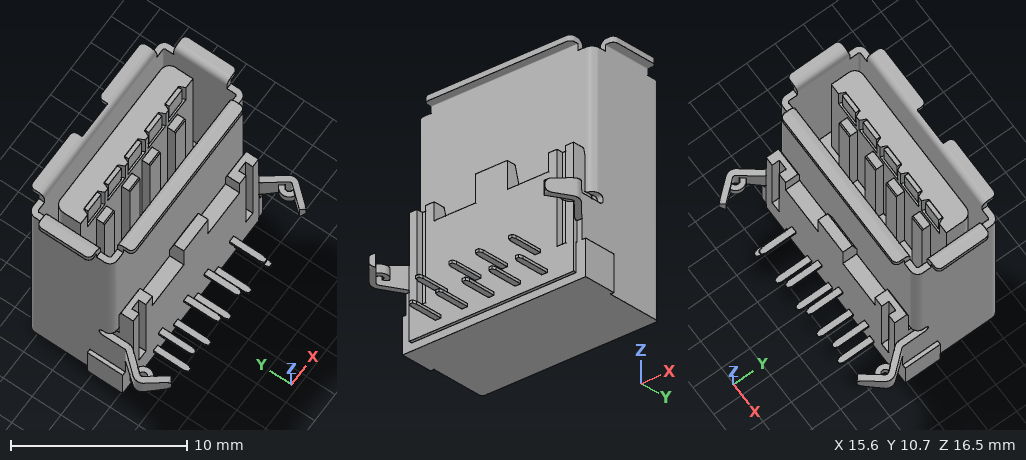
import cadquery as cq
import math


sheet = 0.41
shell_half_width = 6.64
shell_front = 1.15
shell_back = 7.03
shell_corner_radius = 0.52
shell_rim = 15.67
bottom_radius = 0.3
inner_half_width = shell_half_width - sheet
inner_front = shell_front + sheet
inner_back = shell_back - sheet
shell_middle = (shell_front + shell_back) / 2

relief_bottom = 5.57
relief_top = 6.16
relief_end = 2.05
side_plate_front = 0.23

lip_top = 16.5
lip_reach = 0.64
lip_inside_bend = 0.06
lip_corner_radius = 0.33
long_lip_width = 11.08
short_lip_width = 3.7
back_lip_gap = 2.5

base_front = side_plate_front
flange_half_width = 6.9
flange_back = 2.69
flange_height = 2.52
floor_top = relief_bottom

plate_half_width = 6.19
plate_bottom = 0.53
plate_thickness = 0.98
plate_shoulder = 8.94
plate_notch_floor = 7.71
notch_outer_half_width = 4.3
tower_half_width = 1.2
tower_top = 9.6
tower_tip_thickness = 0.68
plate_taper_start = 8.53
slot_center = 5.27
slot_width = 0.66
slot_depth = 0.5
slot_bottom = 2.6

tongue_half_width = 5.54
tongue_front = 4.11
tongue_back = 5.93
tongue_top = 15.9
tongue_corner_radius = 0.6
recess_front_width = 1.72
recess_back_width = 1.36
recess_depth = 0.39
recess_bottom = 14.28
pad_width = 1.28
pad_thickness = 0.27
pad_top_step = 0.05
spring_width = 1.0
spring_thickness = 0.57
spring_top = 13.8
spring_chamfer = 0.08

pad_positions = (-4, -2, 0, 2, 4)
spring_positions = (-3.5, -1, 1, 3.5)
lower_pin_row = 1.27
upper_pin_row = 2.76
pin_width = 0.42
pin_thickness = 0.2
pin_length = 2.38
pin_tip_length = 0.26
pin_tip_width = 0.25

clip_lean = math.radians(40)
clip_reach = 7.8
clip_outer_radius = 0.59
clip_inner_radius = clip_outer_radius - sheet
clip_root = 0.2
clip_root_overlap = 0.3
clip_tip = -2.99
clip_center_z = 4.73
clip_root_half_height = relief_bottom - clip_center_z
clip_tip_half_height = 0.43
clip_tip_radius = 0.35
curl_center = (7.22, -1.4)
curl_outer_radius = 0.62
curl_inner_radius = 0.26
curl_height = 0.6


def block(x_range, y_range, z_range):
    """Axis-aligned block between the given coordinates."""
    size = [high - low for low, high in (x_range, y_range, z_range)]
    corner = (x_range[0], y_range[0], z_range[0])
    return cq.Workplane("XY").box(*size, centered=False).translate(corner)


def centered_block(half_width, y_range, z_range):
    """Block symmetric about X = 0."""
    return block((-half_width, half_width), y_range, z_range)


def both_sides(solid):
    """The solid of the +X side together with its mirror image."""
    return solid.union(solid.mirror("YZ"))


def rounded_column(half_width, y_range, height, radius):
    column = centered_block(half_width, y_range, (0, height))
    return column.edges("|Z").fillet(radius)


def lip(width):
    """Rim strip bent outward toward +Y; the inner wall face lies at Y = 0."""
    bend_radius = sheet + lip_inside_bend
    sin45 = math.sqrt(0.5)
    bend_z = lip_top - bend_radius
    strip = (
        cq.Workplane("YZ")
        .moveTo(0, shell_rim)
        .lineTo(0, bend_z)
        .threePointArc(
            (bend_radius * (1 - sin45), bend_z + bend_radius * sin45),
            (bend_radius, lip_top),
        )
        .lineTo(sheet + lip_reach, lip_top)
        .lineTo(sheet + lip_reach, lip_top - sheet)
        .lineTo(bend_radius, lip_top - sheet)
        .threePointArc(
            (bend_radius - lip_inside_bend * sin45, bend_z + lip_inside_bend * sin45),
            (sheet, bend_z),
        )
        .lineTo(sheet, shell_rim)
        .close()
        .extrude(width / 2, both=True)
    )
    return strip.edges("|Z").edges(">Y").fillet(lip_corner_radius)


def lips():
    center = (0, 0, 0)
    axis_end = (0, 0, 1)
    gap_range = (sheet, sheet + lip_reach)
    gap = centered_block(back_lip_gap / 2, gap_range, (shell_rim, lip_top))
    back = lip(long_lip_width).cut(gap)
    gap_corners = cq.selectors.BoxSelector(
        (-back_lip_gap, gap_range[1] - lip_corner_radius, shell_rim),
        (back_lip_gap, gap_range[1] + lip_corner_radius, lip_top),
    )
    back = back.edges("|Z").edges(gap_corners).fillet(lip_corner_radius)
    back = back.translate((0, inner_back, 0))
    front = lip(long_lip_width).rotate(center, axis_end, 180).translate((0, inner_front, 0))
    side = lip(short_lip_width).rotate(center, axis_end, -90)
    side = side.translate((inner_half_width, shell_middle, 0))
    return back.union(front).union(both_sides(side))


def shell():
    outer = rounded_column(
        shell_half_width, (shell_front, shell_back), shell_rim, shell_corner_radius
    )
    inner = rounded_column(
        inner_half_width, (inner_front, inner_back), shell_rim, shell_corner_radius - sheet
    )
    tube = outer.cut(inner)
    relief_radius = (relief_top - relief_bottom) / 2
    relief_center_y = relief_end - relief_radius
    lower_front = centered_block(shell_half_width, (0, relief_center_y), (0, relief_top))
    relief_round = (
        cq.Workplane("YZ")
        .center(relief_center_y, relief_bottom + relief_radius)
        .circle(relief_radius)
        .extrude(shell_half_width, both=True)
    )
    side_plate = block(
        (inner_half_width, shell_half_width),
        (side_plate_front, relief_center_y),
        (0, relief_bottom),
    )
    return tube.cut(lower_front).union(both_sides(side_plate)).cut(relief_round).union(lips())


def front_plate():
    """Plate at the board face with tapered top and two notches."""
    plate = (
        cq.Workplane("YZ")
        .polyline([
            (0, plate_bottom),
            (inner_front, plate_bottom),
            (inner_front, relief_top),
            (plate_thickness, relief_top),
            (plate_thickness, plate_taper_start),
            (tower_tip_thickness, tower_top),
            (0, tower_top),
        ])
        .close()
        .extrude(plate_half_width, both=True)
    )
    depth_range = (0, plate_thickness)
    shoulder_cut = block(
        (notch_outer_half_width, plate_half_width), depth_range, (plate_shoulder, tower_top)
    )
    notch = block(
        (tower_half_width, notch_outer_half_width), depth_range, (plate_notch_floor, tower_top)
    )
    return plate.cut(both_sides(shoulder_cut.union(notch)))


def plate_slots():
    """Two vertical grooves in the board face, open at the plate shoulders."""
    slot = block(
        (slot_center - slot_width / 2, slot_center + slot_width / 2),
        (0, slot_depth),
        (slot_bottom, plate_shoulder),
    )
    return both_sides(slot)


def base():
    """Block closing the bottom of the shell, with the flange that widens its foot."""
    core = centered_block(inner_half_width, (inner_front, inner_back), (0, floor_top))
    front = centered_block(plate_half_width, (base_front, inner_front), (0, floor_top))
    flange = centered_block(flange_half_width, (base_front, flange_back), (0, flange_height))
    return core.union(front).union(flange)


def tongue():
    """Contact carrier with five recessed flat pads and four spring contacts before it."""
    body = centered_block(tongue_half_width, (tongue_front, tongue_back), (floor_top, tongue_top))
    body = body.edges("|Z").edges(">Y").fillet(tongue_corner_radius)
    recess_back = tongue_front + recess_depth
    recess = (
        cq.Workplane("XY", origin=(0, 0, recess_bottom))
        .polyline([
            (-recess_front_width / 2, tongue_front),
            (recess_front_width / 2, tongue_front),
            (recess_back_width / 2, recess_back),
            (-recess_back_width / 2, recess_back),
        ])
        .close()
        .extrude(tongue_top - recess_bottom)
    )
    pad = centered_block(
        pad_width / 2,
        (recess_back - pad_thickness, recess_back),
        (recess_bottom, tongue_top - pad_top_step),
    )
    for x in pad_positions:
        body = body.cut(recess.translate((x, 0, 0))).union(pad.translate((x, 0, 0)))
    spring = centered_block(
        spring_width / 2, (tongue_front - spring_thickness, tongue_front), (floor_top, spring_top)
    )
    spring = spring.edges("<Y").edges(">Z").chamfer(spring_chamfer)
    for x in spring_positions:
        body = body.union(spring.translate((x, 0, 0)))
    return body


def pin(x, z):
    """Flat pin from the front plate toward -Y, with a tapered tip."""
    return (
        cq.Workplane("XY", origin=(x, 0, z - pin_thickness / 2))
        .polyline([
            (-pin_width / 2, 0),
            (-pin_width / 2, pin_tip_length - pin_length),
            (-pin_tip_width / 2, -pin_length),
            (pin_tip_width / 2, -pin_length),
            (pin_width / 2, pin_tip_length - pin_length),
            (pin_width / 2, 0),
        ])
        .close()
        .extrude(pin_thickness)
    )


def pins():
    row = [pin(x, lower_pin_row) for x in pad_positions]
    row += [pin(x, upper_pin_row) for x in spring_positions]
    all_pins = row[0]
    for single in row[1:]:
        all_pins = all_pins.union(single)
    return all_pins


def clip():
    """V-shaped retention clip of the +X side, tapering to a rounded tip, with a curled tab."""
    slope = math.tan(clip_lean)
    apex_x = clip_reach + clip_outer_radius * (1 / math.cos(clip_lean) - 1)
    apex_y = clip_root - (apex_x - shell_half_width) / slope
    inner_apex_x = apex_x - sheet / math.cos(clip_lean)
    inner_root_y = apex_y + (inner_apex_x - inner_half_width) / slope
    strip_height = clip_center_z + clip_root_half_height
    start_y = clip_root + clip_root_overlap
    tip_x = apex_x - (apex_y - clip_tip) * slope
    strip = (
        cq.Workplane("XY")
        .polyline([
            (shell_half_width, start_y),
            (shell_half_width, clip_root),
            (apex_x, apex_y),
            (tip_x, clip_tip),
            (tip_x - sheet * math.cos(clip_lean), clip_tip + sheet * math.sin(clip_lean)),
            (inner_apex_x, apex_y),
            (inner_half_width, inner_root_y),
            (inner_half_width, start_y),
        ])
        .close()
        .extrude(strip_height)
    )
    bends = (
        (apex_x, apex_y, clip_outer_radius),
        (inner_apex_x, apex_y, clip_inner_radius),
        (shell_half_width, clip_root, clip_inner_radius),
        (inner_half_width, inner_root_y, clip_outer_radius),
    )
    for x, y, radius in bends:
        corner = cq.selectors.NearestToPointSelector((x, y, strip_height / 2))
        strip = strip.edges("|Z").edges(corner).fillet(radius)
    return strip.intersect(clip_side_outline(start_y)).union(curl())


def clip_side_outline(start_y):
    """Block whose YZ outline gives the bent strip its taper and rounded tip."""
    root_top = clip_center_z + clip_root_half_height
    root_bottom = clip_center_z - clip_root_half_height
    outline = (
        cq.Workplane("YZ")
        .polyline([
            (start_y, root_bottom),
            (start_y, root_top),
            (clip_root, root_top),
            (clip_tip, clip_center_z + clip_tip_half_height),
            (clip_tip, clip_center_z - clip_tip_half_height),
            (clip_root, root_bottom),
        ])
        .close()
        .extrude(clip_reach)
    )
    return outline.edges("|X").edges("<Y").fillet(clip_tip_radius)


def curl():
    """Half ring on the inside of the clip bend."""
    center_x, center_y = curl_center
    ring = (
        cq.Workplane("XY", origin=(center_x, center_y, clip_center_z - curl_height / 2))
        .circle(curl_outer_radius)
        .circle(curl_inner_radius)
        .extrude(curl_height)
    )
    inner_half = block(
        (center_x - curl_outer_radius, center_x),
        (center_y - curl_outer_radius, center_y + curl_outer_radius),
        (0, clip_center_z + curl_height),
    )
    return ring.intersect(inner_half)


def bottom_back_corner():
    """Material outside the rounded bottom back edge."""
    corner = centered_block(
        shell_half_width, (shell_back - bottom_radius, shell_back), (0, bottom_radius)
    )
    rounding = (
        cq.Workplane("YZ")
        .center(shell_back - bottom_radius, bottom_radius)
        .circle(bottom_radius)
        .extrude(shell_half_width, both=True)
    )
    return corner.cut(rounding)


result = (
    shell()
    .union(base())
    .cut(bottom_back_corner())
    .union(front_plate())
    .cut(plate_slots())
    .union(tongue())
    .union(pins())
    .union(both_sides(clip()))
)